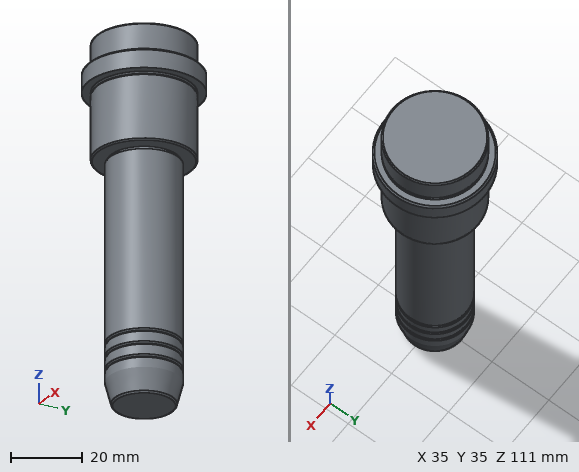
import cadquery as cq
import math

length = 111.0
body_bottom = 75.0
flange_bottom = 96.0
flange_height = 6.0
flange_top = flange_bottom + flange_height

head_radius = 30.0 / 2
flange_radius = 35.0 / 2
shank_radius = 22.0 / 2

edge_chamfer = 0.4
flange_chamfer = 0.5

shoulder_height = 1.0
shoulder_depth = 0.7

taper_height = 7.0
taper_angle = 15.0
bevel_height = 0.5
bevel_depth = 0.4

groove_width = 1.0
groove_depth = 0.4
groove_count = 3
groove_pitch = 4.0
lowest_groove_bottom = 10.0


def revolve_profile(points):
    """Revolve a closed (radius, height) outline around the Z axis."""
    return cq.Workplane("XZ").polyline(points).close().revolve(360, (0, 0, 0), (0, 1, 0))


def cylinder(radius, bottom, top):
    """Solid cylinder on the Z axis between two heights."""
    return cq.Workplane("XY").workplane(offset=bottom).circle(radius).extrude(top - bottom)


def v_groove(radius, bottom):
    """Ring with a triangular section that cuts a V groove into a cylinder."""
    return revolve_profile([
        (radius, bottom),
        (radius - groove_depth, bottom + groove_width / 2),
        (radius, bottom + groove_width),
    ])


def make_shank():
    """Grooved shank with a tapered tip and a conical shoulder."""
    bevel_radius = shank_radius - (taper_height - bevel_height) * math.tan(math.radians(taper_angle))
    shank = revolve_profile([
        (0, 0),
        (bevel_radius - bevel_depth, 0),
        (bevel_radius, bevel_height),
        (shank_radius, taper_height),
        (shank_radius, body_bottom - shoulder_height),
        (shank_radius - shoulder_depth, body_bottom),
        (0, body_bottom),
    ])
    for index in range(groove_count):
        shank = shank.cut(v_groove(shank_radius, lowest_groove_bottom + index * groove_pitch))
    return shank


def make_head():
    """Body and head cylinder, grooved on both sides of the flange around it."""
    head = cylinder(head_radius, body_bottom, length).edges().chamfer(edge_chamfer)
    for groove_bottom in (flange_bottom - groove_width, flange_top):
        head = head.cut(v_groove(head_radius, groove_bottom))
    flange = cylinder(flange_radius, flange_bottom, flange_top).faces(">Z").chamfer(flange_chamfer)
    return head.union(flange)


result = make_shank().union(make_head())